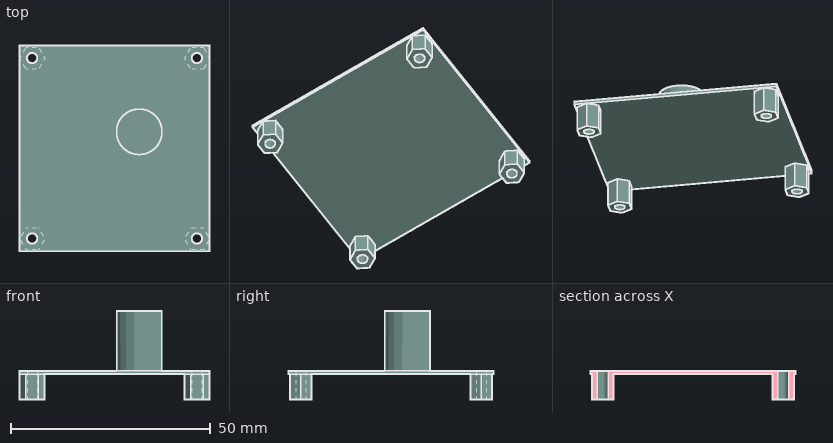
import cadquery as cq
import math

plate_width = 47.6
plate_length = 51.6
plate_thickness = 0.8

standoff_height = 6.4
standoff_across_flats = 5.45
standoff_across_corners = standoff_across_flats / math.cos(math.pi / 6)
hole_diameter = 2.55
hole_spacing_x = 41.25
hole_spacing_y = 45.2

post_diameter = 11.4
total_height = 22.25
post_height = total_height - standoff_height - plate_thickness
post_x = 6.2
post_y = 4.15


def at_corners(plane):
    """Put one point at each of the four fixing positions."""
    return plane.rarray(hole_spacing_x, hole_spacing_y, 2, 2)


plate = cq.Workplane("XY").box(
    plate_width, plate_length, plate_thickness, centered=(True, True, False)
)

standoffs = at_corners(cq.Workplane("XY")).polygon(6, standoff_across_corners).extrude(-standoff_height)

post = (
    cq.Workplane("XY", origin=(post_x, post_y, plate_thickness))
    .circle(post_diameter / 2)
    .extrude(post_height)
)

holes = (
    at_corners(cq.Workplane("XY", origin=(0, 0, -standoff_height)))
    .circle(hole_diameter / 2)
    .extrude(standoff_height + plate_thickness)
)

result = plate.union(standoffs).union(post).cut(holes)